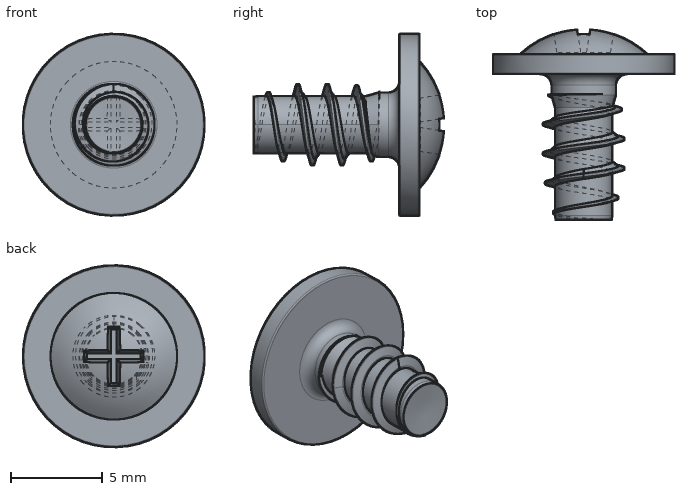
import cadquery as cq
import math


flange_radius = 5.0
flange_thickness = 1.12
flange_edge_radius = 0.08
dome_base_radius = 3.48
dome_height = 1.36
dome_radius = (dome_base_radius**2 + dome_height**2) / (2 * dome_height)
head_top = flange_thickness + dome_height

recess_span = 3.35
recess_width = 0.72
recess_depth = 1.3
recess_wall_taper = 9.0

shank_length = 8.0
shank_radius = 1.78
core_radius = 1.58
neck_fillet = 0.6
neck_length = 1.14
neck_cone_end = 1.83
tip_radius = 1.54
tip_slope = 0.17
dimple_radius = 1.47
dimple_depth = 0.1

pitch = 1.62
start_angle = 90.0
start_height = -8.005
entry_turns = 1.5
full_turns = 1.75
exit_turns = 1.0
thread_turns = entry_turns + full_turns + exit_turns
crest_radius = 2.25
entry_crest_radius = 1.57
exit_crest_radius = 1.95
thread_ceiling = -1.1

tooth_depth = 0.75
crest_round_depth = 0.05
crest_half_width = 0.05
knee_depth = 0.37
knee_height = 0.13
foot_depth = crest_radius - core_radius
foot_height = 0.37
flank_depth = 0.54
flank_height = 0.18

ledge_turns = 0.4
ledge_overlap_turns = 0.03
ledge_rise_per_turn = 0.02
ledge_start_radius = 1.93
ledge_end_radius = 1.77
ledge_depth = 0.3
ledge_thickness = 0.12


def revolve_outline(outline):
    """Close an outline drawn in the radius-height plane and revolve it about Z."""
    return outline.close().revolve(360, (0, 0, 0), (0, 1, 0))


def head_and_shank():
    """Dome, flange with rounded rims, neck fillet, neck, neck cone, core and conical tip."""
    mid_radius = dome_base_radius / 2
    mid_height = head_top - dome_radius + math.sqrt(dome_radius**2 - mid_radius**2)
    arc_inset = 1 - math.sqrt(0.5)
    rim = flange_edge_radius
    rim_inset = rim * arc_inset
    fillet_inset = neck_fillet * arc_inset
    tip_cone_length = (core_radius - tip_radius) / tip_slope
    return revolve_outline(
        cq.Workplane("XZ")
        .moveTo(0, head_top)
        .threePointArc((mid_radius, mid_height), (dome_base_radius, flange_thickness))
        .lineTo(flange_radius - rim, flange_thickness)
        .threePointArc(
            (flange_radius - rim_inset, flange_thickness - rim_inset),
            (flange_radius, flange_thickness - rim),
        )
        .lineTo(flange_radius, rim)
        .threePointArc((flange_radius - rim_inset, rim_inset), (flange_radius - rim, 0))
        .lineTo(shank_radius + neck_fillet, 0)
        .threePointArc((shank_radius + fillet_inset, -fillet_inset), (shank_radius, -neck_fillet))
        .lineTo(shank_radius, -neck_length)
        .lineTo(core_radius, -neck_cone_end)
        .lineTo(core_radius, tip_cone_length - shank_length)
        .lineTo(tip_radius, -shank_length)
        .lineTo(0, -shank_length)
    )


def cross_recess():
    """Two crossing tapered blades, cut down from the top of the dome."""
    blade = (
        cq.Workplane("XY")
        .workplane(offset=head_top)
        .rect(recess_span, recess_width)
        .extrude(-recess_depth, taper=recess_wall_taper)
    )
    return blade.union(blade.rotate((0, 0, 0), (0, 0, 1), 90))


def tip_dimple():
    """Shallow conical hollow in the end face."""
    return revolve_outline(
        cq.Workplane("XZ")
        .moveTo(0, -shank_length)
        .lineTo(dimple_radius, -shank_length)
        .lineTo(0, dimple_depth - shank_length)
    )


def helical_sweep(section, turns, first_radius, last_radius, first_turn, rise_per_turn, height):
    """Sweep a section, drawn with its crest at the origin, along a straight or conical helix."""
    rise = rise_per_turn * turns
    lean = math.atan2(last_radius - first_radius, rise)
    cone_angle = math.degrees(lean) if lean else 360
    slant = 1 / math.cos(lean)
    helix = cq.Wire.makeHelix(rise_per_turn * slant, rise * slant, first_radius, angle=cone_angle)
    placed = section.translate((first_radius, 0, 0)).wires().toPending()
    swept = placed.sweep(cq.Workplane(obj=helix), isFrenet=True)
    turned = swept.rotate((0, 0, 0), (0, 0, 1), start_angle + 360 * first_turn)
    return turned.translate((0, 0, height))


def tooth_section():
    """Rounded crest, steep flank on the tip side and a wide foot on the head side."""
    return (
        cq.Workplane("XZ")
        .moveTo(-tooth_depth, foot_height)
        .lineTo(-foot_depth, foot_height)
        .lineTo(-knee_depth, knee_height)
        .lineTo(-crest_round_depth, crest_half_width)
        .threePointArc((0, 0), (-crest_round_depth, -crest_half_width))
        .lineTo(-flank_depth, -flank_height)
        .lineTo(-tooth_depth, -flank_height)
        .close()
    )


def teeth():
    """The three stretches of the thread, kept between the tip plane and the thread ceiling."""
    room = (
        cq.Workplane("XY")
        .workplane(offset=-shank_length)
        .circle(flange_radius)
        .extrude(shank_length + thread_ceiling)
    )
    stretches = [
        (entry_turns, entry_crest_radius, crest_radius),
        (full_turns, crest_radius, crest_radius),
        (exit_turns, crest_radius, exit_crest_radius),
    ]
    pieces = []
    turn = 0
    for turns, first_radius, last_radius in stretches:
        height = start_height + turn * pitch
        piece = helical_sweep(
            tooth_section(), turns, first_radius, last_radius, turn, pitch, height
        )
        pieces.append(piece.intersect(room))
        turn += turns
    return pieces


def runout_ledge():
    """Thin ledge that sinks into the neck beyond the last tooth."""
    section = (
        cq.Workplane("XZ")
        .moveTo(-ledge_depth, 0)
        .lineTo(0, 0)
        .lineTo(-ledge_depth, -ledge_thickness)
        .close()
    )
    return helical_sweep(
        section,
        ledge_turns,
        ledge_start_radius,
        ledge_end_radius,
        thread_turns - ledge_overlap_turns,
        ledge_rise_per_turn,
        thread_ceiling,
    )


screw = head_and_shank().cut(cross_recess())
for tooth in teeth():
    screw = screw.union(tooth)
screw = screw.union(runout_ledge())
screw = screw.cut(tip_dimple())

result = screw.rotate((0, 0, 0), (1, 0, 0), -90)